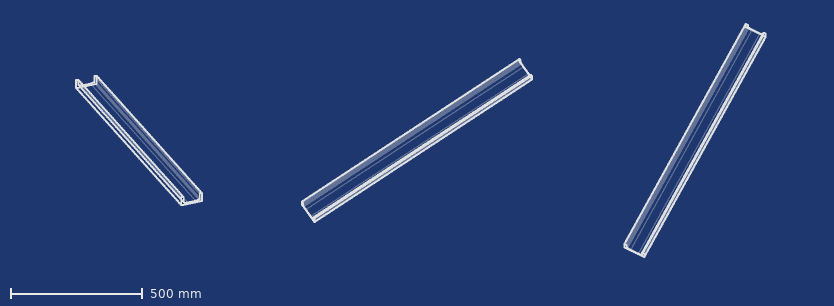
import cadquery as cq

length = 1000.0
width = 86.5
height = 36.0

wall_thickness = 10.35
floor_thickness = 7.0
floor_edge_thickness = 10.25
flat_floor_width = 33.0
rim_radius = 3.0
bottom_radius = 3.0
root_radius = 4.0

half_width = width / 2
inner_half_width = half_width - wall_thickness
half_flat = flat_floor_width / 2


def make_channel():
    """Sharp-edged U channel, centred on X and Y, standing on Z = 0."""
    return (
        cq.Workplane("YZ", origin=(-length / 2, 0, 0))
        .moveTo(-half_width, 0)
        .lineTo(half_width, 0)
        .lineTo(half_width, height)
        .lineTo(inner_half_width, height)
        .lineTo(inner_half_width, floor_edge_thickness)
        .lineTo(half_flat, floor_thickness)
        .lineTo(-half_flat, floor_thickness)
        .lineTo(-inner_half_width, floor_edge_thickness)
        .lineTo(-inner_half_width, height)
        .lineTo(-half_width, height)
        .close()
        .extrude(length)
    )


def round_long_edges(body, corner_y, corner_z, radius):
    """Fillet the pair of lengthwise edges at +/- corner_y and height corner_z."""
    for side in (-1, 1):
        edge = cq.selectors.NearestToPointSelector((0, side * corner_y, corner_z))
        body = body.edges("|X").edges(edge).fillet(radius)
    return body


channel = make_channel()
channel = round_long_edges(channel, half_width, height, rim_radius)
channel = round_long_edges(channel, inner_half_width, height, rim_radius)
channel = round_long_edges(channel, half_width, 0, bottom_radius)
channel = round_long_edges(channel, inner_half_width, floor_edge_thickness, root_radius)

result = channel